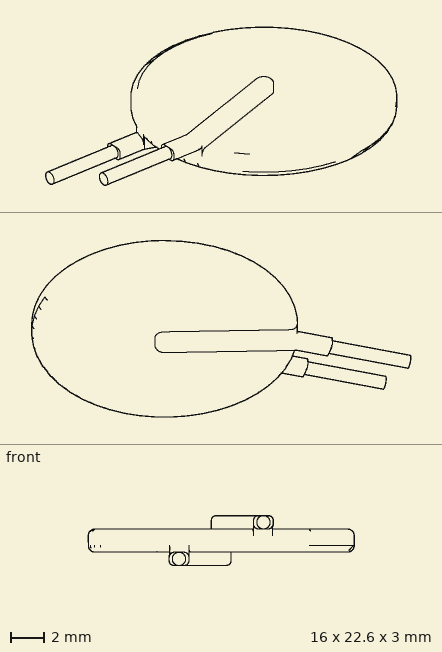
import cadquery as cq
import math

disc_diameter = 16.0
disc_thickness = 1.4
rim_fillet = 0.4

overall_length = 22.58
overall_height = 3.0
lead_pitch = 5.08
coating_width = 1.2
coating_fillet = 0.3
bend_y = -7.6
wire_length = 5.0

disc_radius = disc_diameter / 2
disc_top = disc_thickness / 2
rim_top = disc_top - rim_fillet
lead_top = overall_height / 2
lead_height = lead_top - disc_top
lead_x = lead_pitch / 2
half_width = coating_width / 2
wire_end_y = disc_radius - overall_length
sleeve_end_y = wire_end_y + wire_length
arm_angle = math.atan2(lead_x, -bend_y)


def make_disc():
    disc = cq.Workplane("XY", origin=(0, 0, -disc_top)).circle(disc_radius).extrude(disc_thickness)
    return disc.edges("%CIRCLE").fillet(rim_fillet)


def coating_block(bottom):
    """Coating with rounded top edges, from the given height up; sharp inside the bend, round outside."""
    side_x = half_width * math.cos(arm_angle)
    side_y = half_width * math.sin(arm_angle)
    miter_y = half_width * math.tan(arm_angle / 2)
    outer_bend_middle = (
        lead_x + half_width * math.cos(arm_angle / 2),
        bend_y + half_width * math.sin(arm_angle / 2),
    )
    return (
        cq.Workplane("XY", origin=(0, 0, bottom))
        .moveTo(lead_x - half_width, sleeve_end_y)
        .lineTo(lead_x - half_width, bend_y - miter_y)
        .lineTo(-side_x, -side_y)
        .threePointArc((-side_y, side_x), (side_x, side_y))
        .lineTo(lead_x + side_x, bend_y + side_y)
        .threePointArc(outer_bend_middle, (lead_x + half_width, bend_y))
        .lineTo(lead_x + half_width, sleeve_end_y)
        .close()
        .extrude(lead_top - bottom)
        .faces(">Z").edges("not |X").fillet(coating_fillet)
    )


def make_lead():
    """Upper lead; the coating is square-footed over the disc and rounded all round beyond it."""
    disc_column = cq.Workplane("XY").circle(disc_radius).extrude(overall_height)
    footing = coating_block(rim_top).intersect(disc_column)
    sleeve = coating_block(disc_top).faces("<Z").edges("not |X").fillet(coating_fillet)
    wire = (
        cq.Workplane("XZ", origin=(lead_x, sleeve_end_y, disc_top + lead_height / 2))
        .circle(lead_height / 2)
        .extrude(wire_length)
    )
    return sleeve.union(footing).union(wire)


upper_lead = make_lead()
lower_lead = upper_lead.rotate((0, 0, 0), (0, 1, 0), 180)
result = make_disc().union(upper_lead).union(lower_lead)